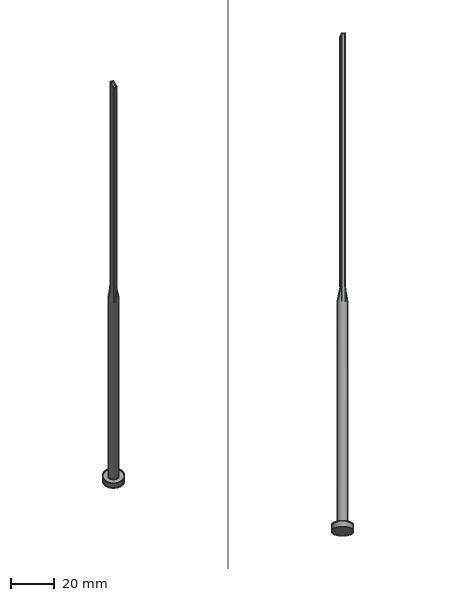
import cadquery as cq

total_length = 250.0
head_diameter = 10.0
head_height = 3.0
shank_diameter = 5.0
blade_width = 4.5
blade_thickness = 1.5
blade_start = total_length / 2
transition_length = 10.0
shank_end = blade_start - transition_length


def make_cylinder(diameter, bottom, top):
    return cq.Workplane("XY").workplane(offset=bottom).circle(diameter / 2).extrude(top - bottom)


def make_transition():
    """Taper from the round shank to the rectangular blade."""
    return (
        cq.Workplane("XY")
        .workplane(offset=shank_end)
        .circle(shank_diameter / 2)
        .workplane(offset=transition_length)
        .rect(blade_width, blade_thickness)
        .loft(ruled=True)
    )


def make_blade():
    return (
        cq.Workplane("XY")
        .workplane(offset=blade_start)
        .rect(blade_width, blade_thickness)
        .extrude(total_length - blade_start)
    )


head = make_cylinder(head_diameter, 0, head_height)
shank = make_cylinder(shank_diameter, head_height, shank_end)
result = head.union(shank).union(make_transition()).union(make_blade())